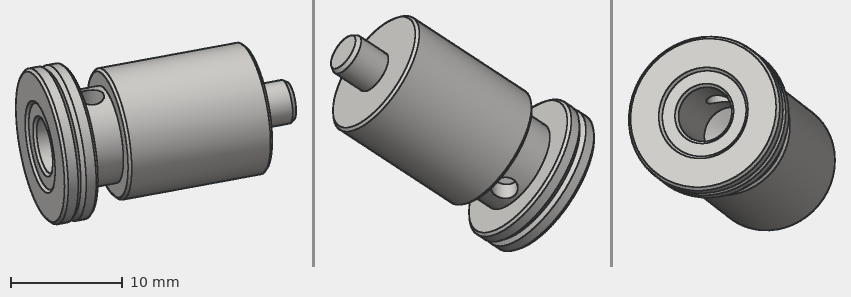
import cadquery as cq
import math

OVERALL_LENGTH = 23.62
FRONT_Y = -OVERALL_LENGTH / 2

FLANGE_DIAMETER = 14.22
FLANGE_LENGTH = 3.17
NECK_DIAMETER = 8.88
BARREL_DIAMETER = 12.0
BARREL_START = 6.38
BARREL_END = 20.0
EDGE_CHAMFER = 0.25

GROOVE_DEPTH = 0.38
GROOVE_CENTER = FLANGE_LENGTH / 2

CROSS_HOLE_DIAMETER = 2.4
CROSS_HOLE_CENTER = (FLANGE_LENGTH + BARREL_START) / 2

RECESS_DIAMETER = 7.9
RECESS_DEPTH = 0.25
BORE_DIAMETER = 5.0
BORE_CHAMFER = 0.25
BORE_END = 8.0
DRILL_POINT_ANGLE = 118.0

STUD_DIAMETER = 4.0
STUD_SEAT_DEPTH = 6.0
STUD_TIP_LENGTH = 0.43
STUD_TIP_DIAMETER = 3.45


def turned(points):
    """Revolve (radius, distance from flange face) points around the Y axis."""
    profile = cq.Workplane("XY").polyline(points).close()
    return profile.revolve(360, (0, 0, 0), (0, 1, 0)).translate((0, FRONT_Y, 0))


def chamfered_disc(diameter, start, end):
    """Cylinder along Y with both rims chamfered."""
    radius = diameter / 2
    inset = radius - EDGE_CHAMFER
    return turned([
        (0, start),
        (inset, start),
        (radius, start + EDGE_CHAMFER),
        (radius, end - EDGE_CHAMFER),
        (inset, end),
        (0, end),
    ])


def flange_groove():
    radius = FLANGE_DIAMETER / 2
    return turned([
        (radius, GROOVE_CENTER - GROOVE_DEPTH),
        (radius - GROOVE_DEPTH, GROOVE_CENTER),
        (radius, GROOVE_CENTER + GROOVE_DEPTH),
    ])


def flange_bore():
    """Conical-walled recess, chamfered bore and drill point as one cutter."""
    recess_radius = RECESS_DIAMETER / 2
    bore_radius = BORE_DIAMETER / 2
    point_length = bore_radius / math.tan(math.radians(DRILL_POINT_ANGLE / 2))
    return turned([
        (0, 0),
        (recess_radius + RECESS_DEPTH, 0),
        (recess_radius, RECESS_DEPTH),
        (bore_radius + BORE_CHAMFER, RECESS_DEPTH),
        (bore_radius, RECESS_DEPTH + BORE_CHAMFER),
        (bore_radius, BORE_END),
        (0, BORE_END + point_length),
    ])


def cross_hole():
    hole = cq.Workplane("XY").center(0, FRONT_Y + CROSS_HOLE_CENTER)
    return hole.circle(CROSS_HOLE_DIAMETER / 2).extrude(NECK_DIAMETER, both=True)


def make_stud():
    radius = STUD_DIAMETER / 2
    seat = BARREL_END - STUD_SEAT_DEPTH
    return turned([
        (0, seat),
        (radius, seat),
        (radius, OVERALL_LENGTH - STUD_TIP_LENGTH),
        (STUD_TIP_DIAMETER / 2, OVERALL_LENGTH),
        (0, OVERALL_LENGTH),
    ])


def make_post(stud):
    flange = chamfered_disc(FLANGE_DIAMETER, 0, FLANGE_LENGTH)
    barrel = chamfered_disc(BARREL_DIAMETER, BARREL_START, BARREL_END)
    neck_radius = NECK_DIAMETER / 2
    neck = turned([
        (0, FLANGE_LENGTH),
        (neck_radius, FLANGE_LENGTH),
        (neck_radius, BARREL_START),
        (0, BARREL_START),
    ])
    post = flange.union(neck).union(barrel)
    return post.cut(flange_groove()).cut(flange_bore()).cut(cross_hole()).cut(stud)


stud = make_stud()
post = make_post(stud)

result = cq.Compound.makeCompound([post.val(), stud.val()])